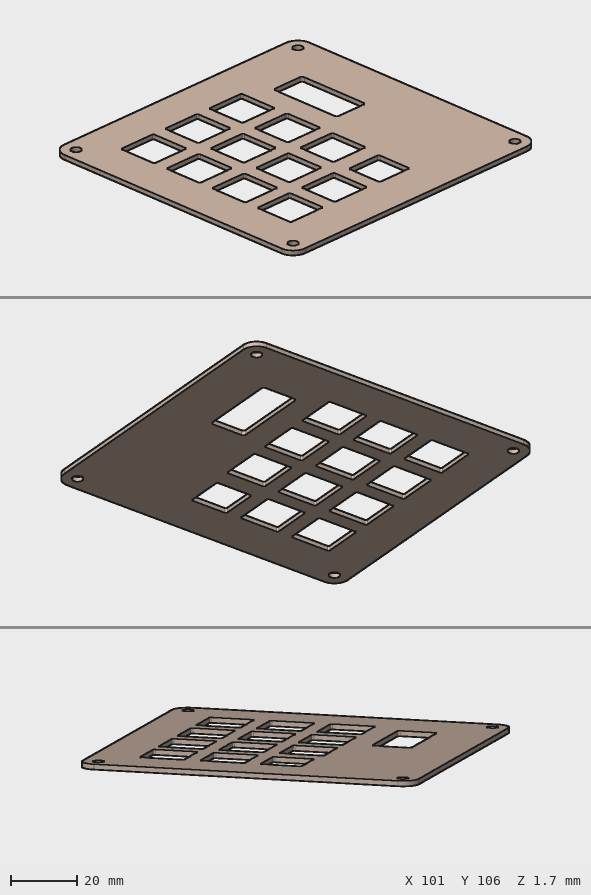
import cadquery as cq

plate_width = 101.0
plate_length = 106.0
plate_thickness = 1.7
corner_radius = 5.0

screw_hole_diameter = 3.4
screw_spacing_x = plate_width - 2 * corner_radius
screw_spacing_y = plate_length - 2 * corner_radius

opening_corner_radius = 0.5

key_size = 14.0
key_pitch = 19.1
key_columns = 4
key_rows = 3
first_key_x = -29.2
first_key_y = 6.9

encoder_size = 12.9
encoder_x = 28.9
encoder_y = first_key_y - (key_size - encoder_size) / 2

display_width = 26.6
display_height = 12.4
display_corner_radius = 1.0
display_x = -17.9
display_y = 28.8


def make_plate():
    """Rounded plate centred on the origin in X and Y, with a screw hole in each corner."""
    plate = cq.Workplane("XY").rect(plate_width, plate_length).extrude(plate_thickness)
    plate = plate.edges("|Z").fillet(corner_radius)
    return (
        plate.faces(">Z").workplane(origin=(0, 0, plate_thickness))
        .rect(screw_spacing_x, screw_spacing_y, forConstruction=True)
        .vertices()
        .hole(screw_hole_diameter)
    )


def make_openings(width, height, radius, centers):
    """Solids to cut through the plate: one rounded rectangle at each centre."""
    return (
        cq.Workplane("XY")
        .pushPoints(centers)
        .rect(width, height)
        .extrude(plate_thickness)
        .edges("|Z")
        .fillet(radius)
    )


key_centers = [
    (first_key_x + column * key_pitch, first_key_y - row * key_pitch)
    for row in range(key_rows)
    for column in range(key_columns)
    if (row, column) != (0, key_columns - 1)
]
encoder_center = (encoder_x, encoder_y)
display_center = (display_x, display_y)

result = (
    make_plate()
    .cut(make_openings(key_size, key_size, opening_corner_radius, key_centers))
    .cut(make_openings(encoder_size, encoder_size, opening_corner_radius, [encoder_center]))
    .cut(make_openings(display_width, display_height, display_corner_radius, [display_center]))
)